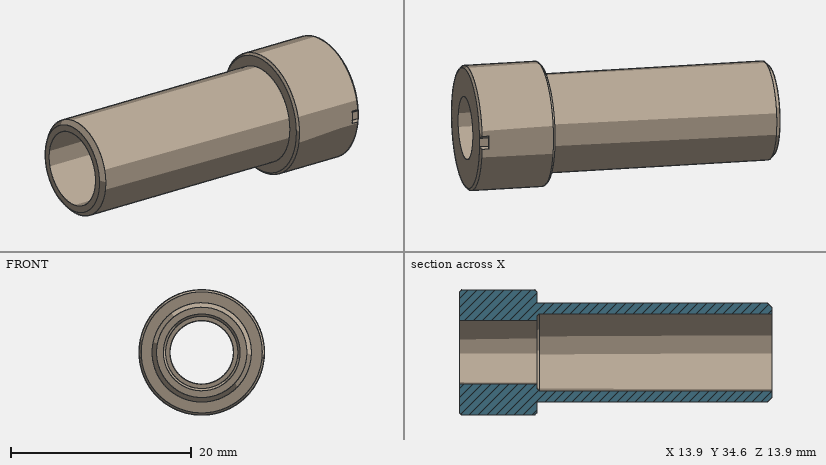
import cadquery as cq
import math

total_length = 34.6
head_length = 8.6
head_radius = 13.9 / 2
head_chamfer = 0.25
stem_radius = 11.0 / 2
stem_chamfer = 0.5

bore_radius = 8.5 / 2
bore_floor_bevel = 0.25
head_hole_radius = 7.0 / 2

notch_length = 1.0
notch_depth = 0.24
notch_floor_width = 0.95
notch_wall_angle = 47.5
notch_ridge_angle = 4.5
notch_clearance = 0.5

y_front = -total_length / 2
y_back = total_length / 2
y_shoulder = y_back - head_length


def make_revolved_body():
    """Half section (radius, Y) of stem, head and bore, revolved about Y."""
    section = (
        cq.Workplane("XY")
        .moveTo(bore_radius, y_front)
        .lineTo(stem_radius - stem_chamfer, y_front)
        .lineTo(stem_radius, y_front + stem_chamfer)
        .lineTo(stem_radius, y_shoulder)
        .lineTo(head_radius - head_chamfer, y_shoulder)
        .lineTo(head_radius, y_shoulder + head_chamfer)
        .lineTo(head_radius, y_back - head_chamfer)
        .lineTo(head_radius - head_chamfer, y_back)
        .lineTo(head_hole_radius, y_back)
        .lineTo(head_hole_radius, y_shoulder)
        .lineTo(bore_radius - bore_floor_bevel, y_shoulder)
        .lineTo(bore_radius, y_shoulder - bore_floor_bevel)
        .close()
    )
    return section.revolve(360, (0, 0, 0), (0, 1, 0))


def make_notch_cutter(side):
    """Cutter for one rim notch: flared side walls and a floor with a slight central ridge."""
    half_floor = notch_floor_width / 2
    ridge_x = head_radius - notch_depth
    floor_edge_x = ridge_x - half_floor * math.tan(math.radians(notch_ridge_angle))
    mouth_x = head_radius + notch_clearance
    half_mouth = half_floor + (mouth_x - floor_edge_x) * math.tan(math.radians(notch_wall_angle))
    return (
        cq.Workplane("XZ", origin=(0, y_back, 0))
        .moveTo(side * floor_edge_x, -half_floor)
        .lineTo(side * ridge_x, 0)
        .lineTo(side * floor_edge_x, half_floor)
        .lineTo(side * mouth_x, half_mouth)
        .lineTo(side * mouth_x, -half_mouth)
        .close()
        .extrude(notch_length)
    )


result = make_revolved_body()
for side in (-1, 1):
    result = result.cut(make_notch_cutter(side))